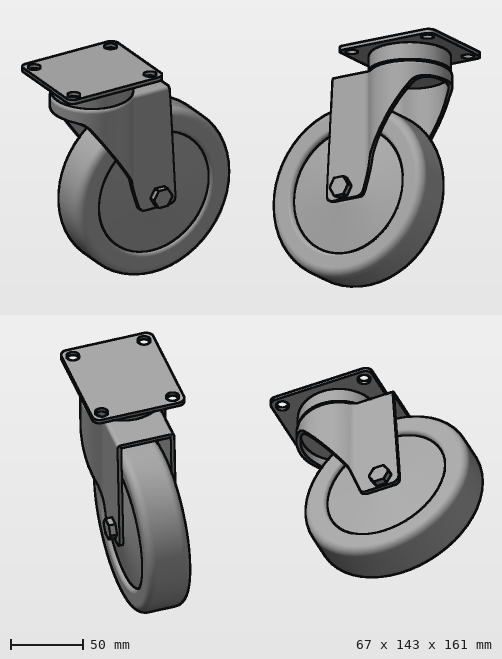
import cadquery as cq
import math

total_height = 161.0
axle_offset = 42.0
wheel_radius = 62.5
axle_height = wheel_radius

plate_width = 67.0
plate_length = 77.0
plate_thickness = 3.0
plate_corner_radius = 5.2
hole_spacing_x = 51.8
hole_spacing_y = 62.1
hole_diameter = 8.9
plate_bottom = total_height - plate_thickness

bearing_radius = 28.5
bearing_bottom = 145.2
bearing_edge_radius = 2.0
neck_radius = 22.0

fork_top = 144.4
fork_bottom = 54.3
fork_sheet = 2.7
fork_head_radius = 29.5
leg_outer_half = 20.8
leg_blend_radius = 7.0
fork_top_edge_radius = 2.9
leg_inner_half = leg_outer_half - fork_sheet

fork_back_top_y = 50.2
fork_back_bottom_y = 54.7
fork_head_bottom = 134.1
leg_corner_radius = 4.0
toe_corner_radius = 5.0
arch_radius = 12.5
knee = (17.4, 81.6)
brow = (-19.8, fork_head_bottom)
toe = (26.4, fork_bottom)

tread_half_width = 16.0
tread_edge_radius = 6.1
dish_radius = 44.9
dish_lip_radius = 3.2
hub_radius = 10.8

bolt_across_flats = 13.0
bolt_half_length = 25.6


def make_plate():
    """Rounded rectangular plate with a hole near each corner."""
    plate = (
        cq.Workplane("XY", origin=(0, 0, plate_bottom))
        .rect(plate_width, plate_length)
        .extrude(plate_thickness)
        .edges("|Z")
        .fillet(plate_corner_radius)
    )
    return (
        plate.faces(">Z")
        .workplane()
        .rect(hole_spacing_x, hole_spacing_y, forConstruction=True)
        .vertices()
        .hole(hole_diameter)
    )


def make_bearing():
    """Bearing drum with a rounded upper rim, on a neck reaching into the fork head."""
    drum = (
        cq.Workplane("XY", origin=(0, 0, bearing_bottom))
        .circle(bearing_radius)
        .extrude(plate_bottom - bearing_bottom)
        .edges(">Z")
        .fillet(bearing_edge_radius)
    )
    neck_bottom = fork_top - fork_sheet
    neck = (
        cq.Workplane("XY", origin=(0, 0, neck_bottom))
        .circle(neck_radius)
        .extrude(plate_bottom - neck_bottom)
    )
    return drum.union(neck)


def fork_prism(inset, top):
    """Keyhole-shaped prism: round head blending into parallel sides, shrunk by inset."""
    head = fork_head_radius - inset
    half = leg_outer_half - inset
    blend = leg_blend_radius + inset
    blend_x = half + blend
    blend_y = math.sqrt((head + blend) ** 2 - blend_x ** 2)
    share = head / (head + blend)
    head_x = blend_x * share
    head_y = blend_y * share
    mid_angle = (math.pi + math.atan2(-blend_y, -blend_x) % (2 * math.pi)) / 2
    mid_x = blend_x + blend * math.cos(mid_angle)
    mid_y = blend_y + blend * math.sin(mid_angle)
    back_y = fork_back_bottom_y + fork_sheet + inset
    return (
        cq.Workplane("XY", origin=(0, 0, fork_bottom))
        .moveTo(half, back_y)
        .lineTo(half, blend_y)
        .threePointArc((mid_x, mid_y), (head_x, head_y))
        .threePointArc((0, -head), (-head_x, head_y))
        .threePointArc((-mid_x, mid_y), (-half, blend_y))
        .lineTo(-half, back_y)
        .close()
        .extrude(top - fork_bottom)
    )


def fork_side_outline():
    """Block that trims the fork to its outline seen along X."""
    block = (
        cq.Workplane("YZ")
        .moveTo(fork_back_top_y, fork_top)
        .lineTo(fork_back_bottom_y, axle_height)
        .lineTo(fork_back_bottom_y, fork_bottom)
        .lineTo(*toe)
        .lineTo(*knee)
        .lineTo(*brow)
        .lineTo(-fork_head_radius, fork_head_bottom)
        .lineTo(-fork_head_radius, fork_top)
        .close()
        .extrude(fork_head_radius, both=True)
    )

    def round_corner(body, corner, radius):
        selector = cq.selectors.NearestToPointSelector((0, *corner))
        return body.edges("|X").edges(selector).fillet(radius)

    block = round_corner(block, (fork_back_bottom_y, fork_bottom), leg_corner_radius)
    block = round_corner(block, toe, toe_corner_radius)
    return round_corner(block, brow, arch_radius)


def make_fork():
    """Hollow keyhole shell, closed on top and open at the back and below."""
    outer = fork_prism(0, fork_top).faces(">Z").edges().fillet(fork_top_edge_radius)
    cavity = fork_prism(fork_sheet, fork_top - fork_sheet)
    return outer.cut(cavity).intersect(fork_side_outline())


def make_wheel():
    """Wheel turned about the axle: rounded tread and conical dished sides."""
    half_width = tread_half_width
    lip_bottom = half_width - dish_lip_radius
    lip_outer = dish_radius + dish_lip_radius
    tread_flat = half_width - tread_edge_radius
    side_outer = wheel_radius - tread_edge_radius
    diagonal = math.sqrt(0.5)
    lip_mid = (lip_bottom + dish_lip_radius * diagonal, lip_outer - dish_lip_radius * diagonal)
    edge_mid = (tread_flat + tread_edge_radius * diagonal, side_outer + tread_edge_radius * diagonal)
    half_wheel = (
        cq.Workplane("XY")
        .moveTo(0, 0)
        .lineTo(leg_inner_half, 0)
        .lineTo(leg_inner_half, hub_radius)
        .lineTo(lip_bottom, dish_radius)
        .threePointArc(lip_mid, (half_width, lip_outer))
        .lineTo(half_width, side_outer)
        .threePointArc(edge_mid, (tread_flat, wheel_radius))
        .lineTo(0, wheel_radius)
        .close()
        .revolve(360, (0, 0, 0), (1, 0, 0))
    )
    wheel = half_wheel.union(half_wheel.mirror("YZ"))
    return wheel.translate((0, axle_offset, axle_height))


def make_bolt():
    """Hexagonal bolt through both legs, with two corners level with the axle."""
    across_corners = bolt_across_flats / math.cos(math.pi / 6)
    return (
        cq.Workplane("YZ", origin=(0, axle_offset, axle_height))
        .polygon(6, across_corners)
        .extrude(bolt_half_length, both=True)
    )


result = make_plate().union(make_bearing()).union(make_fork()).union(make_wheel()).union(make_bolt())